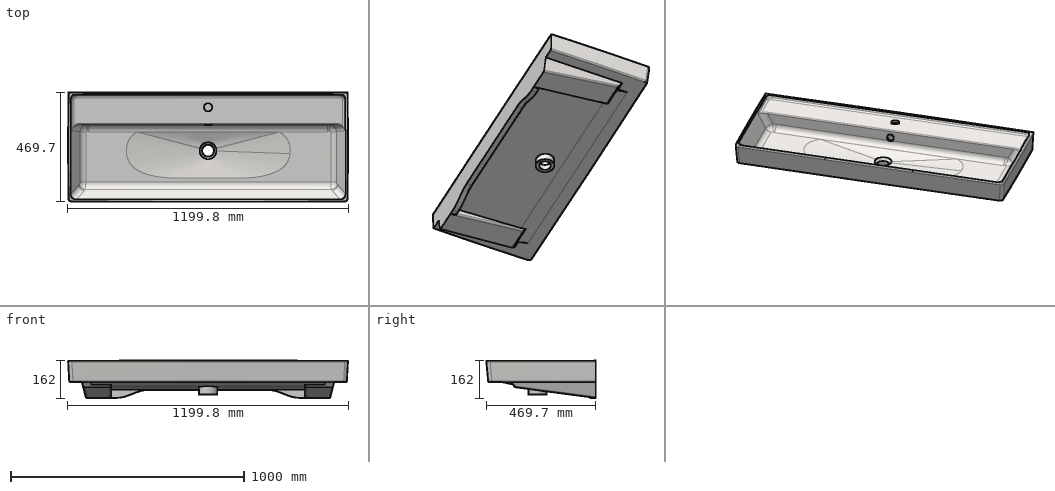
import cadquery as cq
import math


HALF_WIDTH = 599.92
DEPTH = 469.68
HEIGHT = 162.0
BOW = 1.8
RIM_Z = -2.0
BODY_BOTTOM_Z = -94.0
SIDE_DRAFT = 5.0
FRONT_DRAFT = 8.0
FRONT_CORNER_RADIUS = 14.0
BOTTOM_EDGE_RADIUS = 7.0
RIM_BAND_HEIGHT = 5.0
RIM_EDGE_RADIUS = 4.0

STRIP_HALF_LENGTH = 585.0
STRIP_DEPTH = 8.0
STRIP_END_Z = -2.4

RIM_WIDTH = 10.0
DECK_Z = -14.0
RECESS_INSET = 1.5
RECESS_BACK_Y = -8.5
RECESS_FRONT_Y = -195.0
DECK_FRONT_Y = -135.0
DECK_CORNER_RADIUS = 22.0
DECK_FILLET = 10.0
DECK_NOSE_RADIUS = 5.0
TAP_HOLE_DIAMETER = 35.0
TAP_HOLE_Y = -64.0
TAP_HOLE_DEPTH = 12.0

FLOOR_Z = -88.0
BASIN_HALF_WIDTH = HALF_WIDTH - RIM_WIDTH
RECESS_HALF_WIDTH = BASIN_HALF_WIDTH - RECESS_INSET
BASIN_FRONT_Y = -(DEPTH - RIM_WIDTH)
FLOOR_HALF_WIDTH = 541.0
FLOOR_FRONT_Y = -404.0
FLOOR_BACK_Y = -142.0
BASIN_CORNER_RADIUS = 28.0
BASIN_FRONT_FILLET = 38.0
BASIN_REAR_FILLET = 28.0

DISH_HALF_WIDTH = 351.0
DISH_HIP_X = 333.0
DISH_HIP_Y = -306.0
DISH_SHOULDER_X = 262.0
DISH_SHOULDER_Y = -350.0
DISH_HALF_FLAT = 150.0
DISH_FRONT_Y = -366.0
DISH_BACK_Y = -168.5
DISH_BACK_HALF_WIDTH = 304.0
DISH_BOTTOM_Z = -105.0

DRAIN_Y = -250.0
DRAIN_DIAMETER = 50.0
DRAIN_SEAT_DIAMETER = 72.0
DRAIN_SEAT_DEPTH = 12.0
BOSS_DIAMETER = 79.0
BOSS_BOTTOM_Z = -147.0
OVERFLOW_DIAMETER = 30.0
OVERFLOW_Z = -50.0
OVERFLOW_DEPTH = 10.0

PAN_HALF_WIDTH = 500.0
PAN_BACK_Z = -128.0
PAN_KNEE_Y = -330.0
PAN_KNEE_Z = -110.0
PAN_FRONT_Y = -402.0
LEG_OUTER_TOP_X = 541.0
LEG_OUTER_BOTTOM_X = 523.0
LEG_INNER_X = 415.0
LEG_FRONT_Y = -346.0
LEG_FRONT_Z = -116.0
LEG_TOE_Y = -362.0
LEG_EDGE_RADIUS = 8.0
APRON_THICKNESS = 25.0
APRON_FOOT_X = 395.0
APRON_ARCH_X = 255.0

OVERLAP = 3.0
EDGE_TOLERANCE = 2.0


def body_outline(z, side_inset, front_inset):
    """Closed outline of the body at height z, bowed at the front and sides."""
    side = HALF_WIDTH - BOW - side_inset
    front = -(DEPTH - BOW - front_inset)
    corner = FRONT_CORNER_RADIUS
    corner_mid = corner * (1 - math.sqrt(0.5))
    side_mid_y = (front + corner) / 2
    return (
        cq.Workplane("XY", origin=(0, 0, z))
        .moveTo(-side, 0)
        .threePointArc((-side - BOW, side_mid_y), (-side, front + corner))
        .threePointArc((-side + corner_mid, front + corner_mid), (-side + corner, front))
        .threePointArc((0, front - BOW), (side - corner, front))
        .threePointArc((side - corner_mid, front + corner_mid), (side, front + corner))
        .threePointArc((side + BOW, side_mid_y), (side, 0))
        .close()
        .wire()
        .val()
    )


def sloped_block(bottom, top):
    """Flat-sided block between two rectangles, each given as (half width, front Y, back Y, Z)."""
    bottom_half_width, bottom_front, bottom_back, bottom_z = bottom
    top_half_width, top_front, top_back, top_z = top
    across = [
        (-bottom_half_width, bottom_z),
        (bottom_half_width, bottom_z),
        (top_half_width, top_z),
        (-top_half_width, top_z),
    ]
    along = [(bottom_front, bottom_z), (bottom_back, bottom_z), (top_back, top_z), (top_front, top_z)]
    wide = cq.Workplane("XZ").polyline(across).close().extrude(DEPTH)
    return wide.intersect(cq.Workplane("YZ").polyline(along).close().extrude(HALF_WIDTH, both=True))


def loft(*wires):
    return cq.Workplane(cq.Solid.makeLoft(list(wires), True))


def make_body():
    body = loft(
        body_outline(BODY_BOTTOM_Z, SIDE_DRAFT, FRONT_DRAFT),
        body_outline(RIM_Z - RIM_BAND_HEIGHT, 0, 0),
        body_outline(RIM_Z, 0, 0),
    )
    body = body.edges("<Z").edges("not(>Y)").fillet(BOTTOM_EDGE_RADIUS)
    return body.edges(">Z").edges("not(>Y)").fillet(RIM_EDGE_RADIUS)


def make_wall_strip():
    """Crowned strip that rises above the rim along the wall."""
    return (
        cq.Workplane("XZ")
        .moveTo(-STRIP_HALF_LENGTH, STRIP_END_Z)
        .threePointArc((0, 0), (STRIP_HALF_LENGTH, STRIP_END_Z))
        .lineTo(STRIP_HALF_LENGTH, RIM_Z - OVERLAP)
        .lineTo(-STRIP_HALF_LENGTH, RIM_Z - OVERLAP)
        .close()
        .extrude(STRIP_DEPTH)
    )


def make_upper_recess():
    """Opening above the tap deck, reaching forward past the rounded basin corners."""
    side_lean = (BASIN_HALF_WIDTH - FLOOR_HALF_WIDTH) * DECK_Z / FLOOR_Z
    recess = sloped_block(
        (RECESS_HALF_WIDTH - side_lean, RECESS_FRONT_Y, RECESS_BACK_Y - side_lean, DECK_Z),
        (RECESS_HALF_WIDTH, RECESS_FRONT_Y, RECESS_BACK_Y, 0),
    )
    recess = recess.faces(">Y").edges("not(#Z)").fillet(DECK_CORNER_RADIUS)
    return recess.faces("<Z").edges("not(<Y)").fillet(DECK_FILLET)


def make_basin():
    """Basin with sloping walls; the rear fillet runs on around the rear corners and the sides."""
    basin = sloped_block(
        (FLOOR_HALF_WIDTH, FLOOR_FRONT_Y, FLOOR_BACK_Y, FLOOR_Z),
        (BASIN_HALF_WIDTH, BASIN_FRONT_Y, DECK_FRONT_Y, 0),
    )
    basin = basin.faces(">Y").edges("not(#Z)").fillet(BASIN_CORNER_RADIUS)
    basin = basin.faces("<Z").edges("<Y").fillet(BASIN_FRONT_FILLET)
    return basin.faces("<Z").edges(">Y").fillet(BASIN_REAR_FILLET)


def make_dish():
    """Shallow dish with a D-like rim that falls in straight lines to the drain seat."""
    left_half = [
        (-DISH_BACK_HALF_WIDTH, DISH_BACK_Y),
        (-DISH_HALF_WIDTH, DRAIN_Y),
        (-DISH_HIP_X, DISH_HIP_Y),
        (-DISH_SHOULDER_X, DISH_SHOULDER_Y),
        (-DISH_HALF_FLAT, DISH_FRONT_Y),
    ]
    right_half = [(-x, y) for x, y in reversed(left_half)]
    rim = cq.Workplane("XY", origin=(0, 0, FLOOR_Z)).spline(left_half + [(0, DISH_FRONT_Y)] + right_half)
    rim = rim.close().wire().val()
    drain = cq.Workplane("XY", origin=(0, DRAIN_Y, DISH_BOTTOM_Z)).circle(DRAIN_SEAT_DIAMETER / 2)
    return loft(rim, drain.wire().val())


def make_pan():
    """Sloping underside of the basin between and in front of the legs."""
    top_z = BODY_BOTTOM_Z + OVERLAP
    profile = [
        (0, top_z),
        (0, PAN_BACK_Z),
        (PAN_KNEE_Y, PAN_KNEE_Z),
        (PAN_FRONT_Y, BODY_BOTTOM_Z),
        (PAN_FRONT_Y, top_z),
    ]
    return cq.Workplane("YZ").polyline(profile).close().extrude(PAN_HALF_WIDTH, both=True)


def make_leg():
    """Wedge-shaped leg on the -X side, deepest at the wall."""
    foot_z = -HEIGHT
    top_z = BODY_BOTTOM_Z + OVERLAP
    side_profile = [
        (0, top_z),
        (0, foot_z),
        (LEG_FRONT_Y, LEG_FRONT_Z),
        (LEG_TOE_Y, BODY_BOTTOM_Z),
        (LEG_TOE_Y, top_z),
    ]
    front_profile = [
        (-LEG_OUTER_TOP_X, top_z),
        (-LEG_OUTER_BOTTOM_X, foot_z),
        (-LEG_INNER_X, foot_z),
        (-LEG_INNER_X, top_z),
    ]
    wedge = cq.Workplane("YZ").polyline(side_profile).close().extrude(-LEG_OUTER_TOP_X)
    leg = wedge.intersect(cq.Workplane("XZ").polyline(front_profile).close().extrude(-LEG_TOE_Y))
    sole_middle = (-LEG_INNER_X, LEG_FRONT_Y / 2, (foot_z + LEG_FRONT_Z) / 2)
    leg = leg.edges(cq.NearestToPointSelector(sole_middle)).fillet(LEG_EDGE_RADIUS)
    outer_middle = (-(LEG_OUTER_TOP_X + LEG_OUTER_BOTTOM_X) / 2, sole_middle[1], sole_middle[2])
    return leg.edges(cq.NearestToPointSelector(outer_middle)).fillet(LEG_EDGE_RADIUS)


def make_apron():
    """Plate along the wall, arched between the two legs."""
    top_z = BODY_BOTTOM_Z + OVERLAP
    along = (1, 0)
    return (
        cq.Workplane("XZ")
        .moveTo(-LEG_INNER_X - OVERLAP, top_z)
        .lineTo(-LEG_INNER_X - OVERLAP, -HEIGHT)
        .lineTo(-APRON_FOOT_X, -HEIGHT)
        .spline([(-APRON_ARCH_X, PAN_BACK_Z)], tangents=[along, along], includeCurrent=True)
        .lineTo(APRON_ARCH_X, PAN_BACK_Z)
        .spline([(APRON_FOOT_X, -HEIGHT)], tangents=[along, along], includeCurrent=True)
        .lineTo(LEG_INNER_X + OVERLAP, -HEIGHT)
        .lineTo(LEG_INNER_X + OVERLAP, top_z)
        .close()
        .extrude(APRON_THICKNESS)
    )


def make_drain_boss():
    boss_top_z = DISH_BOTTOM_Z - OVERLAP
    boss = cq.Workplane("XY", origin=(0, DRAIN_Y, BOSS_BOTTOM_Z)).circle(BOSS_DIAMETER / 2)
    return boss.extrude(boss_top_z - BOSS_BOTTOM_Z)


def make_drain_bore():
    """Through bore with a conical seat that narrows from the dish bottom."""
    seat_bottom_z = DISH_BOTTOM_Z - DRAIN_SEAT_DEPTH
    bore_radius = DRAIN_DIAMETER / 2
    profile = [
        (0, DISH_BOTTOM_Z),
        (DRAIN_SEAT_DIAMETER / 2, DISH_BOTTOM_Z),
        (bore_radius, seat_bottom_z),
        (bore_radius, BOSS_BOTTOM_Z - OVERLAP),
        (0, BOSS_BOTTOM_Z - OVERLAP),
    ]
    half_section = cq.Workplane("XZ", origin=(0, DRAIN_Y, 0)).polyline(profile).close()
    return half_section.revolve(360, (0, 0), (0, 1))


def make_tap_hole():
    mouth = cq.Workplane("XY", origin=(0, TAP_HOLE_Y, DECK_Z)).circle(TAP_HOLE_DIAMETER / 2)
    return mouth.extrude(-TAP_HOLE_DEPTH)


def make_overflow():
    """Blind overflow opening in the rear wall of the basin."""
    mouth_y = FLOOR_BACK_Y - OVERLAP
    mouth = cq.Workplane("XZ", origin=(0, mouth_y, OVERFLOW_Z)).circle(OVERFLOW_DIAMETER / 2)
    return mouth.extrude(-OVERFLOW_DEPTH - OVERLAP)


def is_on_deck_nose(edge):
    """True for the long edge where the deck meets the rear wall of the basin."""
    centre = edge.Center()
    long_enough = edge.BoundingBox().xlen > HALF_WIDTH
    return long_enough and abs(centre.z - DECK_Z) < EDGE_TOLERANCE and abs(centre.y - DECK_FRONT_Y) < EDGE_TOLERANCE


def round_deck_nose(part):
    nose = [edge for edge in part.edges().vals() if is_on_deck_nose(edge)]
    return part.newObject(nose).fillet(DECK_NOSE_RADIUS)


leg = make_leg()
shell = make_body().union(make_wall_strip())
shell = shell.union(make_pan()).union(leg).union(leg.mirror("YZ"))
shell = shell.union(make_apron()).union(make_drain_boss())
shell = shell.cut(make_basin()).cut(make_upper_recess())
shell = round_deck_nose(shell)
shell = shell.cut(make_dish()).cut(make_drain_bore())
result = shell.cut(make_tap_hole()).cut(make_overflow())